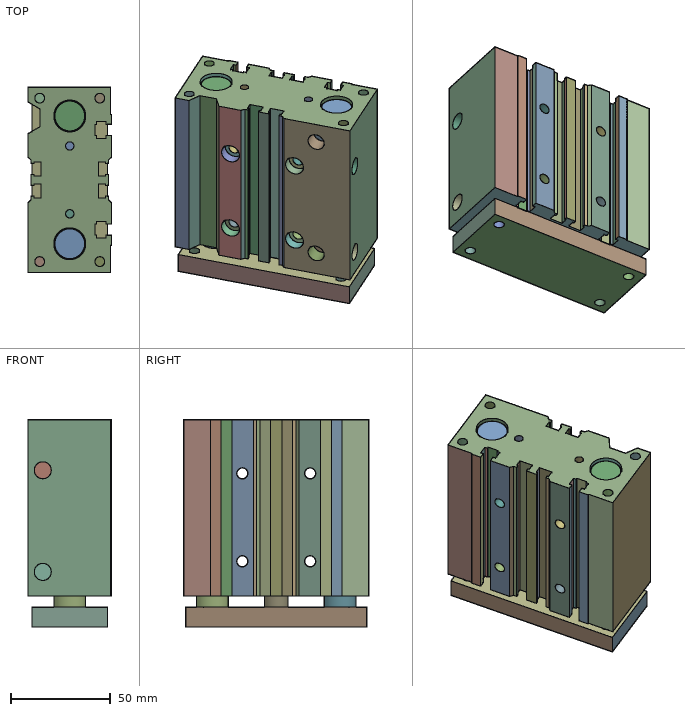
import cadquery as cq

TOTAL_HEIGHT = 104.0
HOUSING_DEPTH = 42.0
HOUSING_WIDTH = 93.0
PLATE_DEPTH = 38.1
PLATE_WIDTH = 91.0
PLATE_THICKNESS = 10.0
ROD_GAP = 5.5

HOUSING_BOTTOM = PLATE_THICKNESS + ROD_GAP
HOUSING_HEIGHT = TOTAL_HEIGHT - HOUSING_BOTTOM
HALF_DEPTH = HOUSING_DEPTH / 2
HALF_WIDTH = HOUSING_WIDTH / 2

STEP_DEPTH = 0.5
STEP_START = 32.9

WAIST_DEPTH = 1.6
WAIST_HALF_WIDTH = 10.0
WAIST_SLOPE = 1.5

SMALL_SLOT_PITCH = 11.0
SMALL_SLOT_MOUTH = 5.4
SMALL_SLOT_HEAD = 7.0
SMALL_SLOT_HEAD_START = 3.1
SMALL_SLOT_FLOOR = 6.7

LARGE_SLOT_PITCH = 50.0
LARGE_SLOT_MOUTH = 5.5
LARGE_SLOT_HEAD = 8.4
LARGE_SLOT_HEAD_START = 2.9
LARGE_SLOT_HEAD_END = 7.5
LARGE_SLOT_FLOOR = 8.3

CHANNEL_CENTER = 31.1
CHANNEL_MOUTH = 15.9
CHANNEL_FLOOR = 8.8
CHANNEL_DEPTH = 6.1

GUIDE_DIAMETER = 16.0
GUIDE_PITCH = 64.1
GUIDE_END_CHAMFER = 0.5
GUIDE_RECESS = 1.6
PISTON_ROD_DIAMETER = 12.0
PISTON_ROD_INSERTION = 20.8

CORNER_HOLE_DIAMETER = 4.9
CORNER_HOLE_DEPTH = 12.5
CORNER_HOLE_PITCH_X = 30.2
CORNER_HOLE_PITCH_Y = 82.0
PIN_HOLE_DIAMETER = 4.2
PIN_HOLE_DEPTH = 8.3

MOUNT_HOLE_DIAMETER = 5.4
MOUNT_BORE_DIAMETER = 9.5
MOUNT_BORE_DEPTH = 5.4
MOUNT_PITCH = 34.0
MOUNT_HEIGHTS = (33.0, 77.1)

PORT_DIAMETER = 8.5
PORT_DEPTH = 8.3
SIDE_PORT_Y = -28.5
SIDE_PORT_HEIGHTS = (27.5, 93.6)
END_PORT_X = -13.5
END_PORT_HEIGHTS = (27.7, 78.6)

PLATE_HOLE_DIAMETER = 5.2
PLATE_HOLE_PITCH_X = 26.0
PLATE_HOLE_PITCH_Y = 78.0


def mirrored_pair(pitch):
    """Two positions placed evenly about zero."""
    return (-pitch / 2, pitch / 2)


def rectangle_corners(pitch_x, pitch_y):
    """Four XY points on a rectangle centred on the origin."""
    return [(x, y) for x in mirrored_pair(pitch_x) for y in mirrored_pair(pitch_y)]


def upright_cylinder(x, y, diameter, bottom, top):
    return cq.Workplane("XY", origin=(x, y, bottom)).circle(diameter / 2).extrude(top - bottom)


def x_cylinder(y, z, diameter, depth):
    """Cylinder that enters the housing from its -X face."""
    return cq.Workplane("YZ", origin=(-HALF_DEPTH, y, z)).circle(diameter / 2).extrude(depth)


def y_cylinder(x, z, diameter, depth):
    """Cylinder that enters the housing from its -Y face."""
    return cq.Workplane("XZ", origin=(x, -HALF_WIDTH, z)).circle(diameter / 2).extrude(-depth)


def full_height_prism(points):
    """Upright prism over the whole height of the housing."""
    return cq.Workplane("XY", origin=(0, 0, HOUSING_BOTTOM)).polyline(points).close().extrude(HOUSING_HEIGHT)


def face_slot(side, y_center, start, end, width):
    """Full-height groove between two depths below the X face on the given side (+1 or -1)."""
    outer = side * (HALF_DEPTH - start)
    inner = side * (HALF_DEPTH - end)
    low = y_center - width / 2
    high = y_center + width / 2
    return full_height_prism([(outer, low), (inner, low), (inner, high), (outer, high)])


def waist(side):
    face = side * HALF_DEPTH
    floor = side * (HALF_DEPTH - WAIST_DEPTH)
    mouth = WAIST_HALF_WIDTH + WAIST_SLOPE
    return full_height_prism(
        [(face, -mouth), (floor, -WAIST_HALF_WIDTH), (floor, WAIST_HALF_WIDTH), (face, mouth)]
    )


def small_slot(side, y):
    mouth = face_slot(side, y, 0, SMALL_SLOT_FLOOR, SMALL_SLOT_MOUTH)
    head = face_slot(side, y, SMALL_SLOT_HEAD_START, SMALL_SLOT_FLOOR, SMALL_SLOT_HEAD)
    return mouth.union(head)


def large_slot(y):
    mouth = face_slot(1, y, 0, LARGE_SLOT_FLOOR, LARGE_SLOT_MOUTH)
    head = face_slot(1, y, LARGE_SLOT_HEAD_START, LARGE_SLOT_HEAD_END, LARGE_SLOT_HEAD)
    return mouth.union(head)


def side_channel():
    face = -HALF_DEPTH
    floor = face + CHANNEL_DEPTH
    return full_height_prism([
        (face, CHANNEL_CENTER - CHANNEL_MOUTH / 2),
        (floor, CHANNEL_CENTER - CHANNEL_FLOOR / 2),
        (floor, CHANNEL_CENTER + CHANNEL_FLOOR / 2),
        (face, CHANNEL_CENTER + CHANNEL_MOUTH / 2),
    ])


def housing_profile():
    """Housing block with every groove that runs along its full height."""
    stepped_face = HALF_DEPTH - STEP_DEPTH
    block = full_height_prism([
        (-HALF_DEPTH, -HALF_WIDTH),
        (stepped_face, -HALF_WIDTH),
        (stepped_face, -STEP_START),
        (HALF_DEPTH, -STEP_START),
        (HALF_DEPTH, STEP_START),
        (stepped_face, STEP_START),
        (stepped_face, HALF_WIDTH),
        (-HALF_DEPTH, HALF_WIDTH),
    ])
    for side in (-1, 1):
        block = block.cut(waist(side))
        for y in mirrored_pair(SMALL_SLOT_PITCH):
            block = block.cut(small_slot(side, y))
    for y in mirrored_pair(LARGE_SLOT_PITCH):
        block = block.cut(large_slot(y))
    return block.cut(side_channel())


def cut_rod_bores(body):
    for y in mirrored_pair(GUIDE_PITCH):
        body = body.cut(upright_cylinder(0, y, GUIDE_DIAMETER, HOUSING_BOTTOM, TOTAL_HEIGHT))
    piston_bore_top = HOUSING_BOTTOM + PISTON_ROD_INSERTION
    return body.cut(upright_cylinder(0, 0, PISTON_ROD_DIAMETER, HOUSING_BOTTOM, piston_bore_top))


def cut_top_holes(body):
    corner_hole_bottom = TOTAL_HEIGHT - CORNER_HOLE_DEPTH
    for x, y in rectangle_corners(CORNER_HOLE_PITCH_X, CORNER_HOLE_PITCH_Y):
        body = body.cut(upright_cylinder(x, y, CORNER_HOLE_DIAMETER, corner_hole_bottom, TOTAL_HEIGHT))
    pin_hole_bottom = TOTAL_HEIGHT - PIN_HOLE_DEPTH
    for y in mirrored_pair(MOUNT_PITCH):
        body = body.cut(upright_cylinder(0, y, PIN_HOLE_DIAMETER, pin_hole_bottom, TOTAL_HEIGHT))
    return body


def cut_mounting_holes(body):
    for y in mirrored_pair(MOUNT_PITCH):
        for z in MOUNT_HEIGHTS:
            body = body.cut(x_cylinder(y, z, MOUNT_HOLE_DIAMETER, HOUSING_DEPTH))
            body = body.cut(x_cylinder(y, z, MOUNT_BORE_DIAMETER, MOUNT_BORE_DEPTH))
    return body


def cut_ports(body):
    for z in SIDE_PORT_HEIGHTS:
        body = body.cut(x_cylinder(SIDE_PORT_Y, z, PORT_DIAMETER, PORT_DEPTH))
    for z in END_PORT_HEIGHTS:
        body = body.cut(y_cylinder(END_PORT_X, z, PORT_DIAMETER, PORT_DEPTH))
    return body


def make_housing():
    body = housing_profile()
    body = cut_rod_bores(body)
    body = cut_top_holes(body)
    body = cut_mounting_holes(body)
    return cut_ports(body)


def make_slide():
    """End plate with its two guide rods and the piston rod."""
    body = cq.Workplane("XY").box(PLATE_DEPTH, PLATE_WIDTH, PLATE_THICKNESS, centered=(True, True, False))
    for x, y in rectangle_corners(PLATE_HOLE_PITCH_X, PLATE_HOLE_PITCH_Y):
        body = body.cut(upright_cylinder(x, y, PLATE_HOLE_DIAMETER, 0, PLATE_THICKNESS))
    guide_top = TOTAL_HEIGHT - GUIDE_RECESS
    for y in mirrored_pair(GUIDE_PITCH):
        guide_rod = upright_cylinder(0, y, GUIDE_DIAMETER, PLATE_THICKNESS, guide_top)
        body = body.union(guide_rod.faces(">Z").chamfer(GUIDE_END_CHAMFER))
    piston_rod_top = HOUSING_BOTTOM + PISTON_ROD_INSERTION
    return body.union(upright_cylinder(0, 0, PISTON_ROD_DIAMETER, PLATE_THICKNESS, piston_rod_top))


housing = make_housing()
slide = make_slide()

result = cq.Compound.makeCompound([housing.val(), slide.val()])